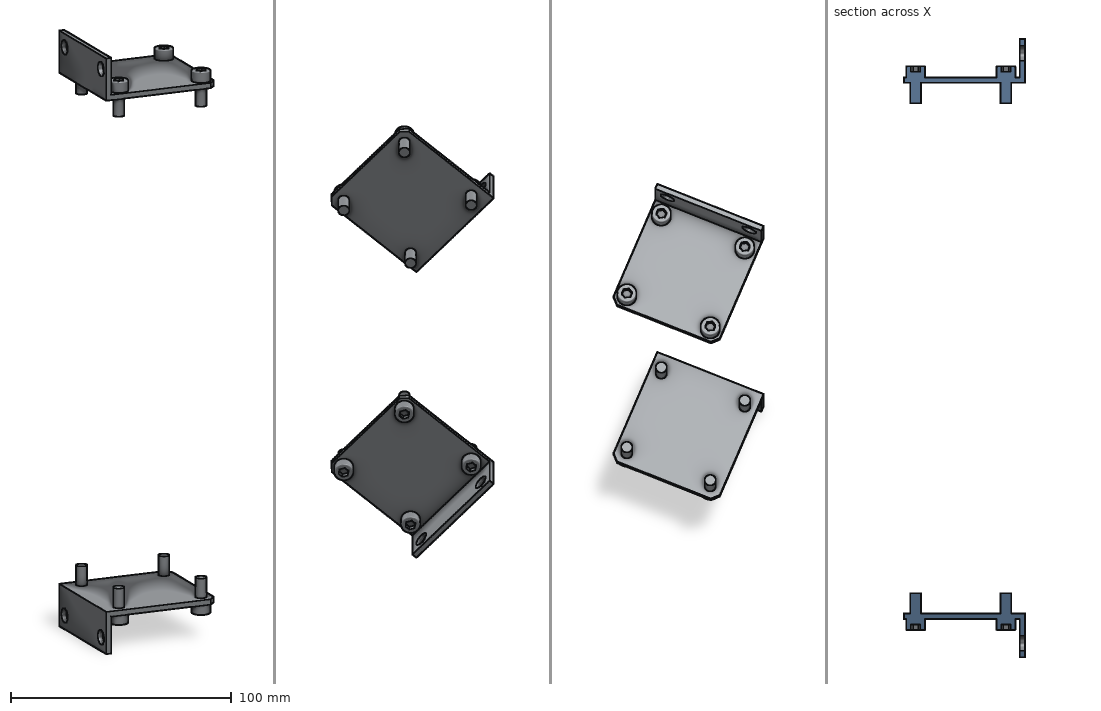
import cadquery as cq

OVERALL_HEIGHT = 280.0

BRACKET_WIDTH = 52.0
BRACKET_DEPTH = 55.0
FLANGE_HEIGHT = 20.0
SHEET_THICKNESS = 2.5
CORNER_CHAMFER = 3.0

HOLE_DIAMETER = 6.7
HOLE_SPACING = 40.0
HOLE_EDGE_DISTANCE = 6.5

SCREW_SPACING = 41.0
SCREW_BACK_DISTANCE = 5.3
SHANK_DIAMETER = 5.0
SHANK_PROTRUSION = 9.2
HEAD_DIAMETER = 8.7
HEAD_HEIGHT = 5.0
HEAD_FILLET = 0.5
SOCKET_ACROSS_CORNERS = 4.8
SOCKET_DEPTH = 2.5

SCREW_CENTER_Y = BRACKET_DEPTH - SCREW_BACK_DISTANCE - SCREW_SPACING / 2


def make_bracket():
    """L-shaped sheet with its outer bend edge along X at the origin and the flange rising along +Z."""
    plate = (
        cq.Workplane("XY")
        .box(BRACKET_WIDTH, BRACKET_DEPTH, SHEET_THICKNESS, centered=(True, False, False))
        .edges("|Z and >Y")
        .chamfer(CORNER_CHAMFER)
    )
    flange = cq.Workplane("XY").box(
        BRACKET_WIDTH, SHEET_THICKNESS, FLANGE_HEIGHT, centered=(True, False, False)
    )
    holes = (
        cq.Workplane("XZ")
        .center(0, FLANGE_HEIGHT - HOLE_EDGE_DISTANCE)
        .rarray(HOLE_SPACING, 2.8, 2, 1)
        .circle(HOLE_DIAMETER / 2)
        .extrude(-SHEET_THICKNESS)
    )
    return plate.union(flange).cut(holes)


def make_screw():
    """Socket-head screw on the Z axis, with the underside of its head at Z = 0."""
    head = (
        cq.Workplane("XY")
        .circle(HEAD_DIAMETER / 2)
        .extrude(HEAD_HEIGHT)
        .faces(">Z")
        .edges()
        .fillet(HEAD_FILLET)
    )
    shank = (
        cq.Workplane("XY")
        .circle(SHANK_DIAMETER / 2)
        .extrude(-(SHEET_THICKNESS + SHANK_PROTRUSION))
    )
    socket = (
        cq.Workplane("XY", origin=(0, 0, HEAD_HEIGHT))
        .transformed(rotate=(0, 0, 90))
        .polygon(6, SOCKET_ACROSS_CORNERS)
        .extrude(-SOCKET_DEPTH)
    )
    return head.union(shank).cut(socket)


def make_bracket_with_screws():
    """One solid: the bracket with four screws joined to it, heads on the flange side of the plate."""
    body = make_bracket()
    screw = make_screw()
    for side_x in (-1, 1):
        for side_y in (-1, 1):
            position = (
                side_x * SCREW_SPACING / 2,
                SCREW_CENTER_Y + side_y * SCREW_SPACING / 2,
                SHEET_THICKNESS,
            )
            body = body.union(screw.translate(position))
    return body


upper_bracket = make_bracket_with_screws().translate((0, 0, OVERALL_HEIGHT / 2 - FLANGE_HEIGHT))
lower_bracket = upper_bracket.mirror("XY")

result = cq.Compound.makeCompound([upper_bracket.val(), lower_bracket.val()])